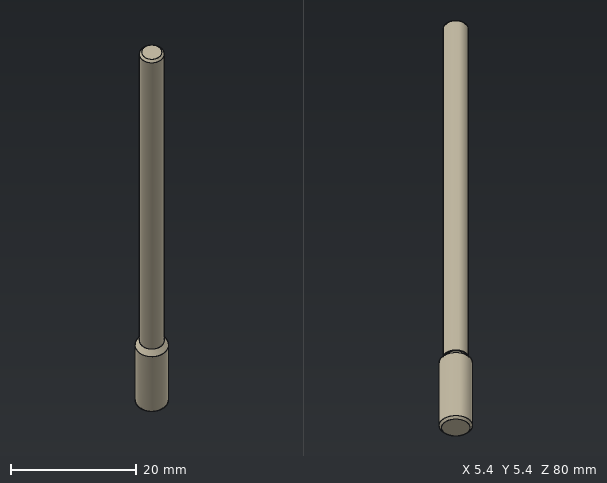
import cadquery as cq

total_length = 80.0
shaft_diameter = 4.0
head_diameter = 5.4
head_top_diameter = 3.5

head_length = 14.0
shoulder_height = 1.0

shaft_end_chamfer = 0.4
head_end_chamfer = 0.4


def make_head():
    """Thick lower cylinder whose conical shoulder ends slightly narrower than the shaft."""
    head_radius = head_diameter / 2
    return (
        cq.Workplane("XZ")
        .lineTo(head_radius - head_end_chamfer, 0)
        .lineTo(head_radius, head_end_chamfer)
        .lineTo(head_radius, head_length - shoulder_height)
        .lineTo(head_top_diameter / 2, head_length)
        .lineTo(0, head_length)
        .close()
        .revolve(360, (0, 0), (0, 1))
    )


def make_shaft():
    """Slender round shaft standing on the head, chamfered at its free end."""
    return (
        cq.Workplane("XY")
        .workplane(offset=head_length)
        .circle(shaft_diameter / 2)
        .extrude(total_length - head_length)
        .faces(">Z")
        .chamfer(shaft_end_chamfer)
    )


head = make_head()
shaft = make_shaft()
result = cq.Compound.makeCompound([head.val(), shaft.val()])